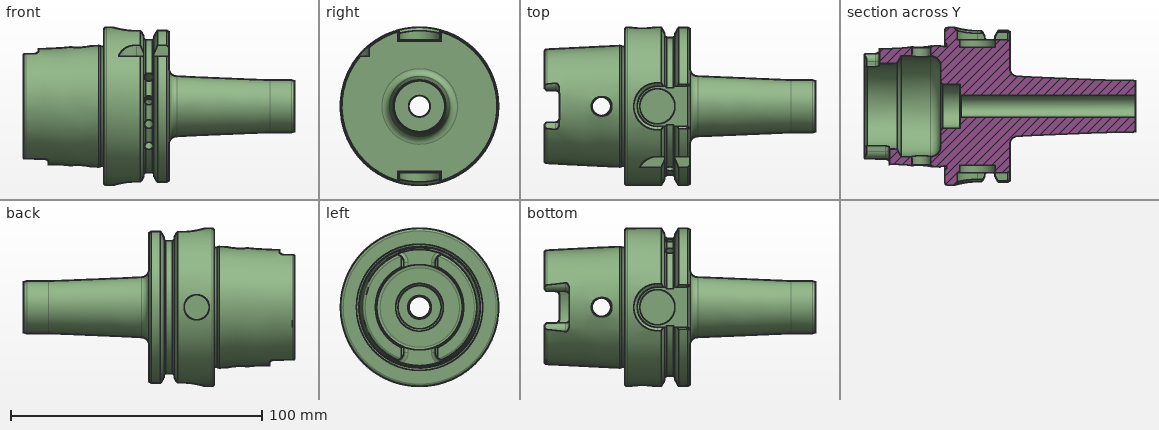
import cadquery as cq
import math


SHANK_LENGTH = 32.0
SHANK_END = -SHANK_LENGTH
TAPER_SLOPE = 0.05
GAUGE_RADIUS = 24.0
GAUGE_X = -6.3
SHANK_EDGE_ROUND = 1.0
TAPER_STOP_X = -1.9
NECK_X = -1.2
NECK_STEP_X = -0.5
NECK_STEP = 0.1
NECK_RADIUS = 23.95
FACE_RELIEF_RADIUS = 1.2

FLANGE_RADIUS = 31.5
FLANGE_END = 26.0
FLANGE_EDGE_ROUND = 1.0
FRONT_CHAMFER_LENGTH = 1.0
FRONT_CHAMFER_DEPTH = 0.6

GROOVE_X = 18.0
GROOVE_MOUTH_WIDTH = 6.9
GROOVE_FLOOR_WIDTH = 4.0
GROOVE_WALL_ANGLE = 30.0
GROOVE_FLOOR_RADIUS = 27.5
GROOVE_CORNER = 0.65

NOSE_END = 76.0
NOSE_RADIUS = 10.5
NOSE_CONE_END = 66.0
NOSE_ROOT_RADIUS = 12.05
NOSE_ROOT_FILLET = 3.0
NOSE_CHAMFER_LENGTH = 1.3
NOSE_CHAMFER_DEPTH = 0.4

BORE_RADIUS = 17.0
MOUTH_CHAMFER_LENGTH = 1.05
MOUTH_CHAMFER_DEPTH = 0.6
BORE_LIP_END = -19.0
CHAMBER_RADIUS = 20.0
CHAMBER_FLARE_LENGTH = 1.7
CHAMBER_END = -5.8
CHAMBER_FILLET = 4.2
BORE_FLOOR = CHAMBER_END + CHAMBER_FILLET
TUBE_SEAT_RADIUS = 8.6
TUBE_SEAT_FLOOR = 6.0
TUBE_SEAT_CHAMFER = 0.9
COOLANT_RADIUS = 4.2
COOLANT_CHAMFER = 0.5

SLOT_HALF_WIDTH = 6.27
SLOT_FLARE_RADIUS = 3.0
SLOT_FLARE_TOP = 21.0
SLOT_DEPTH_TOP = 6.0
SLOT_DEPTH_BOTTOM = 10.0
SLOT_FLOOR_ROUND = 1.6
SLOT_MOUTH_CHAMFER = 1.0

CROSS_HOLE_X = -9.3
CROSS_HOLE_RADIUS = 3.7
CROSS_HOLE_CHAMFER = 0.5

KEYWAY_X = 13.0
KEYWAY_RADIUS = 8.0
KEYWAY_FLOOR = 26.5
KEYWAY_CHAMFER = 1.4
KEYWAY_FRONT_CHAMFER = 0.9
KEYWAY_HOLE_RADIUS = 7.0
KEYWAY_HOLE_DEPTH = 3.0

NOTCH_OFFSET = 20.0
NOTCH_CUTTER_RADIUS = 8.0

BALANCE_HOLE_ANGLES = (25.0, 5.0, -15.0, -35.0)
BALANCE_HOLE_RADIUS = 1.75
BALANCE_HOLE_DEPTH = 14.0
DRILL_POINT_ANGLE = 118.0

CHIP_HOLE_X = 7.0
CHIP_HOLE_RADIUS = 5.0
CHIP_HOLE_DEPTH = 4.6

CLEARANCE = 10.0

ARC_INSET = 1 - math.sqrt(0.5)


def taper_radius(x):
    return GAUGE_RADIUS + TAPER_SLOPE * (x - GAUGE_X)


def opposite(shape):
    """The same shape turned to the -Z side."""
    return shape.rotate((0, 0, 0), (1, 0, 0), 180)


def keyway():
    """Round-ended keyway on the +Z side, open to the front of the flange."""
    height = FLANGE_RADIUS - KEYWAY_FLOOR
    length = FLANGE_END - KEYWAY_X
    base = cq.Workplane("XY", origin=(KEYWAY_X, 0, KEYWAY_FLOOR))
    end = base.circle(KEYWAY_RADIUS).extrude(height)
    run = base.center(length / 2, 0).rect(length, 2 * KEYWAY_RADIUS).extrude(height)
    return end.union(run)


def keyway_mouth():
    """Flare that chamfers the floor and walls of a keyway at the front face of the flange."""
    height = FLANGE_RADIUS - KEYWAY_FLOOR
    width = 2 * KEYWAY_RADIUS
    return (
        cq.Workplane("YZ", origin=(FLANGE_END - FRONT_CHAMFER_LENGTH, 0, KEYWAY_FLOOR + height / 2))
        .rect(width, height)
        .workplane(offset=FRONT_CHAMFER_LENGTH)
        .rect(width + 2 * FRONT_CHAMFER_DEPTH, height + 2 * FRONT_CHAMFER_DEPTH)
        .loft()
    )


def cut_keyways(flange):
    return flange.cut(keyway()).cut(opposite(keyway()))


def keyway_rims():
    """Selector of the edges where the keyway walls meet the outer surface of the flange."""
    rim_low = KEYWAY_FLOOR + 2
    half_width = KEYWAY_RADIUS + 1
    upper = cq.selectors.BoxSelector(
        (FLANGE_EDGE_ROUND, -half_width, rim_low), (FLANGE_END, half_width, FLANGE_RADIUS + 1)
    )
    lower = cq.selectors.BoxSelector(
        (FLANGE_EDGE_ROUND, -half_width, -FLANGE_RADIUS - 1), (FLANGE_END, half_width, -rim_low)
    )
    return upper + lower


def spun(profile):
    """Solid swept by an XY profile turning about the X axis."""
    return profile.revolve(360, (0, 0, 0), (1, 0, 0))


def shank_and_flange_rear():
    """Taper shank, face relief and the flange as far as the middle of the gripper groove."""
    round_end = SHANK_END + SHANK_EDGE_ROUND
    end_radius = taper_radius(round_end)
    relief_rise = FACE_RELIEF_RADIUS * (1 - math.sqrt(0.75))
    profile = (
        cq.Workplane("XY")
        .moveTo(SHANK_END, 0)
        .lineTo(SHANK_END, end_radius - SHANK_EDGE_ROUND)
        .threePointArc(
            (SHANK_END + ARC_INSET * SHANK_EDGE_ROUND, end_radius - ARC_INSET * SHANK_EDGE_ROUND),
            (round_end, end_radius),
        )
        .lineTo(TAPER_STOP_X, taper_radius(TAPER_STOP_X))
        .lineTo(NECK_X, NECK_RADIUS)
        .lineTo(NECK_STEP_X, NECK_RADIUS)
        .lineTo(0, NECK_RADIUS - NECK_STEP)
        .threePointArc(
            (FACE_RELIEF_RADIUS / 2, NECK_RADIUS + relief_rise),
            (0, NECK_RADIUS + FACE_RELIEF_RADIUS),
        )
        .lineTo(0, FLANGE_RADIUS - FLANGE_EDGE_ROUND)
        .threePointArc(
            (ARC_INSET * FLANGE_EDGE_ROUND, FLANGE_RADIUS - ARC_INSET * FLANGE_EDGE_ROUND),
            (FLANGE_EDGE_ROUND, FLANGE_RADIUS),
        )
        .lineTo(GROOVE_X, FLANGE_RADIUS)
        .lineTo(GROOVE_X, 0)
        .close()
    )
    rear = cut_keyways(spun(profile))
    return rear.edges(keyway_rims()).chamfer(KEYWAY_CHAMFER)


def flange_front():
    """Flange from the middle of the gripper groove to its chamfered front face."""
    chamfer_start = FLANGE_END - FRONT_CHAMFER_LENGTH
    profile = (
        cq.Workplane("XY")
        .moveTo(GROOVE_X, 0)
        .lineTo(GROOVE_X, FLANGE_RADIUS)
        .lineTo(chamfer_start, FLANGE_RADIUS)
        .lineTo(FLANGE_END, FLANGE_RADIUS - FRONT_CHAMFER_DEPTH)
        .lineTo(FLANGE_END, 0)
        .close()
    )
    front = cut_keyways(spun(profile))
    front = front.edges(keyway_rims()).chamfer(KEYWAY_FRONT_CHAMFER)
    return front.cut(keyway_mouth()).cut(opposite(keyway_mouth()))


def nose():
    """Tapered nose with a root fillet, ending in a short cylinder."""
    profile = (
        cq.Workplane("XY")
        .moveTo(GROOVE_X, 0)
        .lineTo(GROOVE_X, NOSE_ROOT_RADIUS + NOSE_ROOT_FILLET)
        .lineTo(FLANGE_END, NOSE_ROOT_RADIUS + NOSE_ROOT_FILLET)
        .threePointArc(
            (
                FLANGE_END + ARC_INSET * NOSE_ROOT_FILLET,
                NOSE_ROOT_RADIUS + ARC_INSET * NOSE_ROOT_FILLET,
            ),
            (FLANGE_END + NOSE_ROOT_FILLET, NOSE_ROOT_RADIUS),
        )
        .lineTo(NOSE_CONE_END, NOSE_RADIUS)
        .lineTo(NOSE_END - NOSE_CHAMFER_LENGTH, NOSE_RADIUS)
        .lineTo(NOSE_END, NOSE_RADIUS - NOSE_CHAMFER_DEPTH)
        .lineTo(NOSE_END, 0)
        .close()
    )
    return spun(profile)


def gripper_groove():
    mouth = GROOVE_MOUTH_WIDTH / 2
    floor = GROOVE_FLOOR_WIDTH / 2
    wall_foot = FLANGE_RADIUS - (mouth - floor) / math.tan(math.radians(GROOVE_WALL_ANGLE))
    corner_top = GROOVE_FLOOR_RADIUS + GROOVE_CORNER
    profile = (
        cq.Workplane("XY", origin=(GROOVE_X, 0, 0))
        .moveTo(-mouth, FLANGE_RADIUS + CLEARANCE)
        .lineTo(-mouth, FLANGE_RADIUS)
        .lineTo(-floor, wall_foot)
        .lineTo(-floor, corner_top)
        .lineTo(-floor + GROOVE_CORNER, GROOVE_FLOOR_RADIUS)
        .lineTo(floor - GROOVE_CORNER, GROOVE_FLOOR_RADIUS)
        .lineTo(floor, corner_top)
        .lineTo(floor, wall_foot)
        .lineTo(mouth, FLANGE_RADIUS)
        .lineTo(mouth, FLANGE_RADIUS + CLEARANCE)
        .close()
    )
    return profile.revolve(360, (-GROOVE_X, 0, 0), (-GROOVE_X + 1, 0, 0))


def stepped_bore():
    """Clamping bore, coolant-tube seat and coolant passage."""
    profile = (
        cq.Workplane("XY")
        .moveTo(SHANK_END, 0)
        .lineTo(SHANK_END, BORE_RADIUS + MOUTH_CHAMFER_DEPTH)
        .lineTo(SHANK_END + MOUTH_CHAMFER_LENGTH, BORE_RADIUS)
        .lineTo(BORE_LIP_END, BORE_RADIUS)
        .lineTo(BORE_LIP_END + CHAMBER_FLARE_LENGTH, CHAMBER_RADIUS)
        .lineTo(CHAMBER_END, CHAMBER_RADIUS)
        .threePointArc(
            (BORE_FLOOR - ARC_INSET * CHAMBER_FILLET, CHAMBER_RADIUS - ARC_INSET * CHAMBER_FILLET),
            (BORE_FLOOR, CHAMBER_RADIUS - CHAMBER_FILLET),
        )
        .lineTo(BORE_FLOOR, TUBE_SEAT_RADIUS + TUBE_SEAT_CHAMFER)
        .lineTo(BORE_FLOOR + TUBE_SEAT_CHAMFER, TUBE_SEAT_RADIUS)
        .lineTo(TUBE_SEAT_FLOOR, TUBE_SEAT_RADIUS)
        .lineTo(TUBE_SEAT_FLOOR, COOLANT_RADIUS + COOLANT_CHAMFER)
        .lineTo(TUBE_SEAT_FLOOR + COOLANT_CHAMFER, COOLANT_RADIUS)
        .lineTo(NOSE_END, COOLANT_RADIUS)
        .lineTo(NOSE_END, 0)
        .close()
    )
    return spun(profile)


def drive_slot(depth):
    """Slot in the +Z side of the shank end, flared outward at its outer edges."""
    flare_y = SLOT_HALF_WIDTH + SLOT_FLARE_RADIUS
    flare_z = SLOT_FLARE_TOP - SLOT_FLARE_RADIUS
    mid = SLOT_FLARE_RADIUS * math.sqrt(0.5)
    top = GAUGE_RADIUS + CLEARANCE
    wide_y = flare_y + CLEARANCE
    slot = (
        cq.Workplane("YZ", origin=(SHANK_END, 0, 0))
        .moveTo(-SLOT_HALF_WIDTH, 0)
        .lineTo(SLOT_HALF_WIDTH, 0)
        .lineTo(SLOT_HALF_WIDTH, flare_z)
        .threePointArc((flare_y - mid, flare_z + mid), (flare_y, SLOT_FLARE_TOP))
        .lineTo(wide_y, SLOT_FLARE_TOP)
        .lineTo(wide_y, top)
        .lineTo(-wide_y, top)
        .lineTo(-wide_y, SLOT_FLARE_TOP)
        .lineTo(-flare_y, SLOT_FLARE_TOP)
        .threePointArc((-flare_y + mid, flare_z + mid), (-SLOT_HALF_WIDTH, flare_z))
        .close()
        .extrude(depth)
        .faces(">X")
        .edges()
        .fillet(SLOT_FLOOR_ROUND)
    )
    mouth = (
        cq.Workplane("XY")
        .moveTo(SHANK_END, -SLOT_HALF_WIDTH - SLOT_MOUTH_CHAMFER)
        .lineTo(SHANK_END + SLOT_MOUTH_CHAMFER, -SLOT_HALF_WIDTH)
        .lineTo(SHANK_END + SLOT_MOUTH_CHAMFER, SLOT_HALF_WIDTH)
        .lineTo(SHANK_END, SLOT_HALF_WIDTH + SLOT_MOUTH_CHAMFER)
        .close()
        .extrude(top)
    )
    return slot.union(mouth)


def cross_hole():
    """Hole through both walls of the shank, countersunk where it leaves the taper."""
    rim = taper_radius(CROSS_HOLE_X)
    sink_radius = CROSS_HOLE_RADIUS + CROSS_HOLE_CHAMFER
    half = (
        cq.Workplane("XZ", origin=(CROSS_HOLE_X, 0, 0))
        .lineTo(CROSS_HOLE_RADIUS, 0)
        .lineTo(CROSS_HOLE_RADIUS, rim - CROSS_HOLE_CHAMFER)
        .lineTo(sink_radius, rim)
        .lineTo(sink_radius, rim + 1)
        .lineTo(0, rim + 1)
        .close()
        .revolve(360, (0, 0, 0), (0, 1, 0))
    )
    return half.union(opposite(half))


def keyway_sink():
    """Shallow round sink in the keyway floor."""
    return (
        cq.Workplane("XY", origin=(KEYWAY_X, 0, KEYWAY_FLOOR))
        .circle(KEYWAY_HOLE_RADIUS)
        .extrude(-KEYWAY_HOLE_DEPTH)
    )


def orientation_notch():
    """Square-cornered notch at the -Y, +Z edge of the flange, with a round end."""
    height = FLANGE_RADIUS - NOTCH_OFFSET
    length = FLANGE_END - KEYWAY_X
    centre_y = -NOTCH_OFFSET - NOTCH_CUTTER_RADIUS
    base = cq.Workplane("XY", origin=(KEYWAY_X, centre_y, NOTCH_OFFSET))
    end = base.circle(NOTCH_CUTTER_RADIUS).extrude(height)
    run = base.center(length / 2, 0).rect(length, 2 * NOTCH_CUTTER_RADIUS).extrude(height)
    return end.union(run)


def balance_hole(angle):
    """Drilled hole in the groove floor, turned by the angle in degrees from -Y towards +Z."""
    tip_length = BALANCE_HOLE_RADIUS / math.tan(math.radians(DRILL_POINT_ANGLE / 2))
    hole_end = -GROOVE_FLOOR_RADIUS + BALANCE_HOLE_DEPTH
    hole = (
        cq.Workplane("XY")
        .moveTo(GROOVE_X, -FLANGE_RADIUS)
        .lineTo(GROOVE_X + BALANCE_HOLE_RADIUS, -FLANGE_RADIUS)
        .lineTo(GROOVE_X + BALANCE_HOLE_RADIUS, hole_end)
        .lineTo(GROOVE_X, hole_end + tip_length)
        .close()
        .revolve(360, (GROOVE_X, 0, 0), (GROOVE_X, 1, 0))
    )
    return hole.rotate((0, 0, 0), (1, 0, 0), -angle)


def chip_hole():
    """Blind round hole in the +Y side of the flange."""
    return (
        cq.Workplane("XZ", origin=(CHIP_HOLE_X, FLANGE_RADIUS - CHIP_HOLE_DEPTH, 0))
        .circle(CHIP_HOLE_RADIUS)
        .extrude(-CHIP_HOLE_DEPTH)
    )


body = shank_and_flange_rear().union(flange_front()).union(nose())
body = body.cut(gripper_groove())
body = body.cut(stepped_bore())
body = body.cut(drive_slot(SLOT_DEPTH_TOP))
body = body.cut(opposite(drive_slot(SLOT_DEPTH_BOTTOM)))
body = body.cut(cross_hole())
body = body.cut(keyway_sink()).cut(opposite(keyway_sink()))
body = body.cut(orientation_notch())
for angle in BALANCE_HOLE_ANGLES:
    body = body.cut(balance_hole(angle))
body = body.cut(chip_hole())

result = body